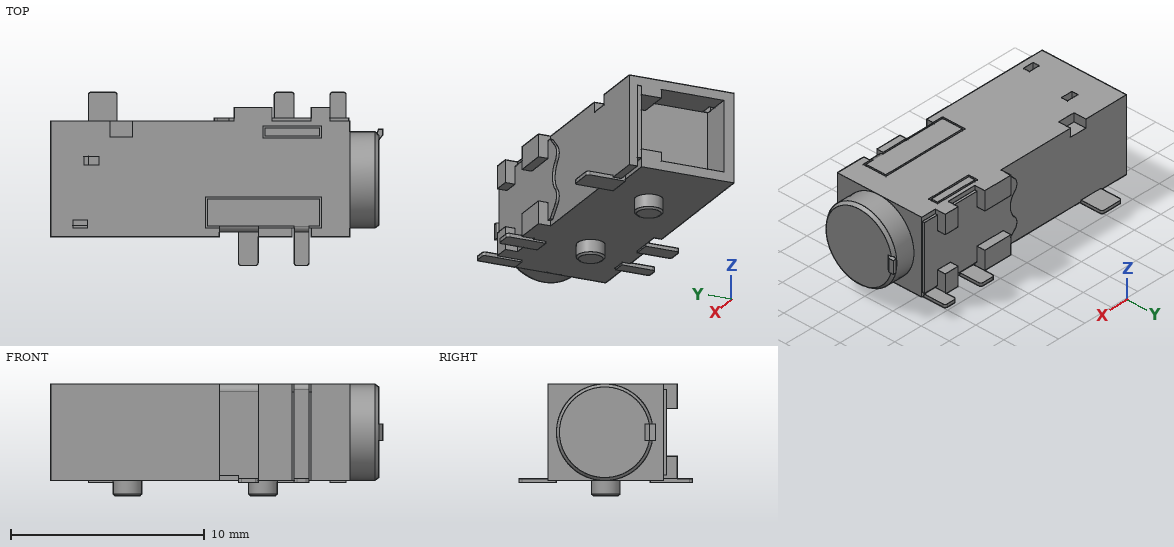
import cadquery as cq
import math


BODY_L, BODY_W, BODY_H = 15.5, 6.0, 5.0
BACK_Y = BODY_W / 2
FRONT_Y = -BODY_W / 2

BARREL_D = BODY_H
BARREL_Y = -0.05
BARREL_END = 17.0
BARREL_CHAMFER_L, BARREL_CHAMFER_R = 0.2, 0.15

TIP_END = 17.2
TIP_H = 0.86
TIP_OUTLINE = ((16.85, 2.03), (17.01, 2.03), (TIP_END, 2.27), (TIP_END, 2.58), (16.98, 2.58), (16.85, 2.24))

PIN_D, PIN_L, PIN_CHAMFER = 1.5, 0.79, 0.1
PIN_XS = (3.97, 10.99)

SHEET = 0.2
FOOT_OVERHANG = 1.5
FOOT_CORNER = 0.15
FOOT_Z = -SHEET / 2

POCKET_DEPTH = 1.95
POCKET_Y0, POCKET_Y1 = FRONT_Y + 0.58, BACK_Y - 0.7
POCKET_Z0, POCKET_Z1 = 0.52, 4.5
BLOCK_W, BLOCK_H = 1.14, 0.48

BLADE_SLOT_W = 0.24
BLADE_SET_BACK = 0.02
BLADE_NOTCH_H = 0.5

WINDOW_GAP, WINDOW_DEPTH = 0.1, 0.41
WINDOW_X1 = 14.02
WIDE_WINDOW_X0, SMALL_WINDOW_X0 = 8.02, 10.99
LEAD_WALL_Y = FRONT_Y + 0.45
WIDE_WINDOW = (WIDE_WINDOW_X0, WINDOW_X1, LEAD_WALL_Y, FRONT_Y + 2.06)
SMALL_WINDOW = (SMALL_WINDOW_X0, WINDOW_X1, BACK_Y - 0.9, BACK_Y - 0.25)

LEAD_FACE_Y = LEAD_WALL_Y - SHEET
WIDE_LEAD_X = (8.74, 10.75)
WIDE_LEAD_FOOT_X0 = 9.72
WIDE_LEAD_BOTTOM = 0.25
WIDE_LEAD_BEND = 0.4
NARROW_LEAD_X = (12.6, 13.38)
NARROW_LEAD_BEND = 0.3
NARROW_LEAD_CLEARANCE = 0.1

BACK_FEET_X = ((1.95, 3.44), (11.58, 12.6), (14.47, 15.3))

LUG_XS = ((9.5, 11.47), (13.48, BACK_FEET_X[2][0]))
LUG_OUT, LUG_H = 0.7, 1.27

PLATE_T = 0.15
PLATE_X0, PLATE_X1 = 8.46, 15.45
PLATE_H = 4.44
LOBE_R, LOBE_OFFSET = 0.58, 1.2

ROOF_NOTCH = (3.08, 4.23, BACK_Y - 0.85, BACK_Y)
ROOF_NOTCH_DEPTH = 0.57
LATCH_HOLE_W = 0.43
LATCH_HOLES = (
    (1.15, 1.9, LEAD_WALL_Y, LEAD_WALL_Y + LATCH_HOLE_W),
    (1.72, 2.51, POCKET_Y1 - BLOCK_W - LATCH_HOLE_W, POCKET_Y1 - BLOCK_W),
)


def box(x0, x1, y0, y1, z0, z1):
    return cq.Workplane("XY").box(x1 - x0, y1 - y0, z1 - z0, centered=False).translate((x0, y0, z0))


def roof_cut(rect, depth):
    return box(*rect, BODY_H - depth, BODY_H)


def rear_pocket():
    pocket = box(0, POCKET_DEPTH, POCKET_Y0, POCKET_Y1, POCKET_Z0, POCKET_Z1)
    block_y0 = POCKET_Y1 - BLOCK_W
    for z in (POCKET_Z0, POCKET_Z1 - BLOCK_H):
        pocket = pocket.cut(box(0, POCKET_DEPTH, block_y0, POCKET_Y1, z, z + BLOCK_H))
    return pocket


def blade_slot():
    y0, y1 = POCKET_Y1, POCKET_Y1 + BLADE_SLOT_W
    recess = box(0, BLADE_SET_BACK, y0, y1, 0, POCKET_Z1)
    return recess.union(box(0, POCKET_DEPTH, y0, y1, 0, BLADE_NOTCH_H))


def window_gap(x0, x1, y0, y1):
    plate = (x0 + WINDOW_GAP, x1 - WINDOW_GAP, y0 + WINDOW_GAP, y1 - WINDOW_GAP)
    return roof_cut((x0, x1, y0, y1), WINDOW_DEPTH).cut(roof_cut(plate, WINDOW_DEPTH))


def lead_notch(x0, x1):
    return box(x0, x1, FRONT_Y, LEAD_WALL_Y, 0, BODY_H)


def lead(x0, x1, bottom, bend):
    """Strip running out of the wide plate, round the bend and down the notch wall."""
    plate_edge_y = LEAD_WALL_Y + WINDOW_GAP
    arm_bottom = BODY_H - WINDOW_DEPTH
    arm_y1 = plate_edge_y + bend
    strip = box(x0, x1, LEAD_FACE_Y, arm_y1, arm_bottom, BODY_H)
    strip = strip.union(box(x0, x1, LEAD_FACE_Y, LEAD_WALL_Y, bottom, BODY_H))
    strip = strip.edges("|X").edges("<Y").edges(">Z").fillet(bend)
    return strip.cut(box(x0, x1, plate_edge_y, arm_y1, arm_bottom, BODY_H))


def foot(x0, x1, y_root, y_tip):
    """Flat solder foot with rounded corners at its tip."""
    strip = box(x0, x1, min(y_root, y_tip), max(y_root, y_tip), FOOT_Z, FOOT_Z + SHEET)
    tip_side = ">Y" if y_tip > y_root else "<Y"
    return strip.edges("|Z").edges(tip_side).fillet(FOOT_CORNER)


def barrel():
    radius = BARREL_D / 2
    outline = [
        (BODY_L, 0),
        (BODY_L, radius),
        (BARREL_END - BARREL_CHAMFER_L, radius),
        (BARREL_END, radius - BARREL_CHAMFER_R),
        (BARREL_END, 0),
    ]
    solid = cq.Workplane("XY").polyline(outline).close().revolve(360, (0, 0), (1, 0))
    return solid.translate((0, BARREL_Y, BODY_H / 2))


def contact_tip():
    strip = cq.Workplane("XY").polyline(TIP_OUTLINE).close().extrude(TIP_H)
    return strip.translate((0, 0, (BODY_H - TIP_H) / 2))


def pin(x):
    solid = cq.Workplane("XY").circle(PIN_D / 2).extrude(-PIN_L).faces("<Z").chamfer(PIN_CHAMFER)
    return solid.translate((x, 0, 0))


def back_plate():
    """Plate whose rear edge is two lobes joined by a hollow, all tangent at 45 degrees."""
    lobe_x = PLATE_X0 + LOBE_R
    diagonal = LOBE_R * math.sqrt(0.5)
    tangent_x = lobe_x - diagonal
    hollow_r = LOBE_OFFSET * math.sqrt(2) - LOBE_R
    hollow_x = lobe_x - LOBE_OFFSET + hollow_r
    outer_z = LOBE_OFFSET + diagonal
    inner_z = LOBE_OFFSET - diagonal
    half = PLATE_H / 2
    slope_x = tangent_x + half - outer_z
    profile = (
        cq.Workplane("XZ")
        .moveTo(PLATE_X1, -half)
        .lineTo(PLATE_X1, half)
        .lineTo(slope_x, half)
        .lineTo(tangent_x, outer_z)
        .threePointArc((PLATE_X0, LOBE_OFFSET), (tangent_x, inner_z))
        .threePointArc((hollow_x, 0), (tangent_x, -inner_z))
        .threePointArc((PLATE_X0, -LOBE_OFFSET), (tangent_x, -outer_z))
        .lineTo(slope_x, -half)
        .close()
    )
    return profile.extrude(-PLATE_T).translate((0, BACK_Y, BODY_H / 2))


housing = box(0, BODY_L, FRONT_Y, BACK_Y, 0, BODY_H)
housing = housing.cut(rear_pocket()).cut(blade_slot()).cut(roof_cut(ROOF_NOTCH, ROOF_NOTCH_DEPTH))
for hole in LATCH_HOLES:
    housing = housing.cut(roof_cut(hole, BODY_H - POCKET_Z1))
for window in (WIDE_WINDOW, SMALL_WINDOW):
    housing = housing.cut(window_gap(*window))
housing = housing.cut(lead_notch(*WIDE_LEAD_X))
narrow_x0, narrow_x1 = NARROW_LEAD_X
housing = housing.cut(lead_notch(narrow_x0 - NARROW_LEAD_CLEARANCE, narrow_x1 + NARROW_LEAD_CLEARANCE))

result = housing.union(barrel()).union(contact_tip()).union(back_plate())
for pin_x in PIN_XS:
    result = result.union(pin(pin_x))
for lug_x0, lug_x1 in LUG_XS:
    for lug_z in (0, BODY_H - LUG_H):
        result = result.union(box(lug_x0, lug_x1, BACK_Y, BACK_Y + LUG_OUT, lug_z, lug_z + LUG_H))

result = result.union(lead(*WIDE_LEAD_X, WIDE_LEAD_BOTTOM, WIDE_LEAD_BEND))
result = result.union(lead(*NARROW_LEAD_X, 0, NARROW_LEAD_BEND))
stem = box(WIDE_LEAD_FOOT_X0, WIDE_LEAD_X[1], LEAD_FACE_Y, LEAD_WALL_Y, 0, WIDE_LEAD_BOTTOM)
result = result.union(stem)
for foot_x0, foot_x1 in ((WIDE_LEAD_FOOT_X0, WIDE_LEAD_X[1]), NARROW_LEAD_X):
    result = result.union(foot(foot_x0, foot_x1, LEAD_WALL_Y, FRONT_Y - FOOT_OVERHANG))
for foot_x0, foot_x1 in BACK_FEET_X:
    result = result.union(foot(foot_x0, foot_x1, POCKET_Y1, BACK_Y + FOOT_OVERHANG))